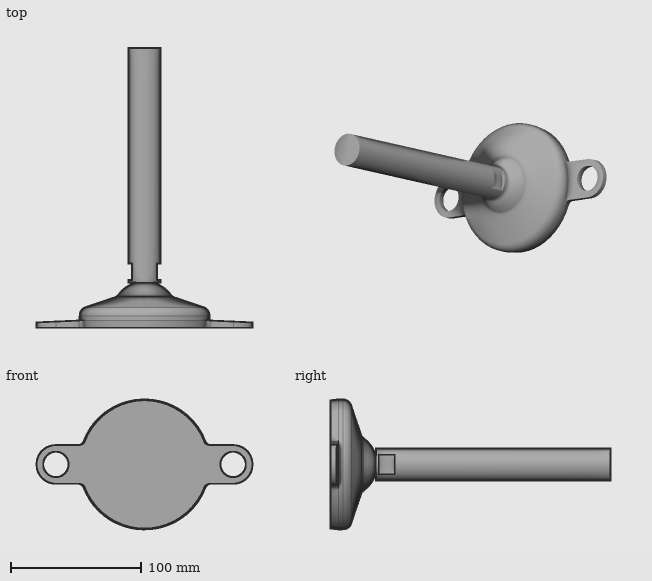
import cadquery as cq
import math

total_length = 215
rod_diameter = 24.7
rod_start = 34.8
flats_width = 19.5
flats_start = 37.0
flats_end = 49.5

foot_diameter = 100.0
foot_radius = foot_diameter / 2
foot_bottom_radius = 49.2
plate_height = 5.8
rim_top = 9.2
shoulder_radius = 7.0
cone_top_radius = 21.7
cone_top = 23.9

dome_radius = 25.0
dome_center = 10.8
dome_bottom = 25.2

overall_width = 166.0
ear_width = 29.9
ear_tip_height = 4.3
ear_hole_diameter = 19.4
ear_blend_radius = 4.3
ear_hole_spacing = overall_width - ear_width


def on_ground():
    """Workplane on the underside, facing along the rod (+Y)."""
    return cq.Workplane(cq.Plane((0, 0, 0), xDir=(1, 0, 0), normal=(0, 1, 0)))


def make_plate():
    """Tapered disc blended into two ears that thin towards their tips."""
    disc = (
        cq.Workplane("XY")
        .polyline([(0, 0), (foot_bottom_radius, 0), (foot_radius, plate_height), (0, plate_height)])
        .close()
        .revolve(360, (0, 0), (0, 1))
    )
    ears = on_ground().slot2D(overall_width, ear_width).extrude(plate_height)
    plate = disc.union(ears)

    corner_x = math.sqrt(foot_radius**2 - (ear_width / 2) ** 2)
    corner_reach = 2.2
    for side in (-1, 1):
        corner_box = cq.selectors.BoxSelector(
            (side * (corner_x - corner_reach), plate_height / 4, -ear_width),
            (side * (corner_x + corner_reach), plate_height * 3 / 4, ear_width),
        )
        plate = plate.edges(corner_box).fillet(ear_blend_radius)

    for side in (-1, 1):
        slope_cut = (
            cq.Workplane("XY")
            .polyline([
                (side * foot_radius, plate_height),
                (side * overall_width / 2, plate_height),
                (side * overall_width / 2, ear_tip_height),
            ])
            .close()
            .extrude(ear_width, both=True)
        )
        plate = plate.cut(slope_cut)

    holes = (
        on_ground()
        .pushPoints([(-ear_hole_spacing / 2, 0), (ear_hole_spacing / 2, 0)])
        .circle(ear_hole_diameter / 2)
        .extrude(plate_height)
    )
    return plate.cut(holes)


def make_foot_body():
    """Revolved rim, rounded shoulder, cone and ball dome."""
    center_x = foot_radius - shoulder_radius
    reach = math.hypot(center_x - cone_top_radius, cone_top - rim_top)
    direction = math.atan2(cone_top - rim_top, cone_top_radius - center_x)
    tangent_angle = direction - math.acos(shoulder_radius / reach)

    def shoulder_point(angle):
        return (
            center_x + shoulder_radius * math.cos(angle),
            rim_top + shoulder_radius * math.sin(angle),
        )

    def dome_point(height):
        return (math.sqrt(dome_radius**2 - (height - dome_center) ** 2), height)

    dome_top = dome_center + dome_radius
    profile = (
        cq.Workplane("XY")
        .moveTo(0, plate_height)
        .lineTo(foot_radius, plate_height)
        .lineTo(foot_radius, rim_top)
        .threePointArc(shoulder_point(tangent_angle / 2), shoulder_point(tangent_angle))
        .lineTo(cone_top_radius, cone_top)
        .lineTo(*dome_point(dome_bottom))
        .threePointArc(dome_point((dome_bottom + dome_top) / 2), (0, dome_top))
        .close()
    )
    return profile.revolve(360, (0, 0), (0, 1))


def make_rod():
    """Plain round rod with two wrench flats just above its lower collar."""
    rod = (
        on_ground()
        .workplane(offset=rod_start)
        .circle(rod_diameter / 2)
        .extrude(total_length - rod_start)
    )
    flats_length = flats_end - flats_start
    for side in (-1, 1):
        flat_cut = cq.Workplane("XY").box(rod_diameter, flats_length, rod_diameter).translate(
            (side * (flats_width + rod_diameter) / 2, flats_start + flats_length / 2, 0)
        )
        rod = rod.cut(flat_cut)
    return rod


result = make_plate().union(make_foot_body()).union(make_rod())